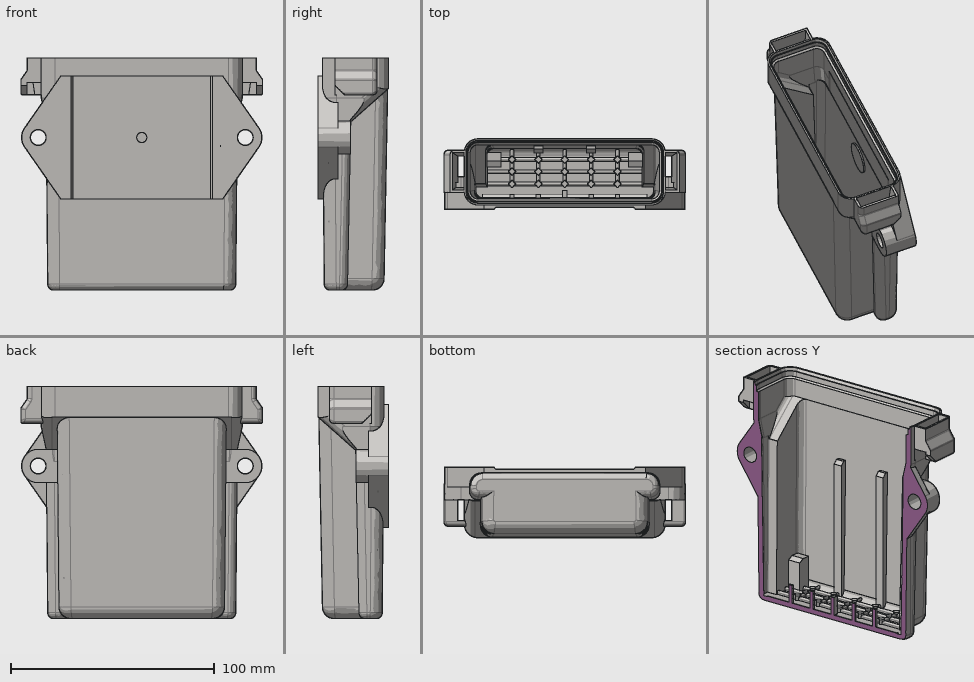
import cadquery as cq
import math

HEIGHT = 114.0
BACK_Y = 34.7
WALL = 2.6
WIDE_BACK_WALL = 3.6

COLLAR_HALF = 49.4
COLLAR_FRONT_Y = 2.1
COLLAR_RADIUS = 6.9
COLLAR_WALL = 3.0
COLLAR_BOTTOM_Z = 94.5
RIM_THICKNESS = 0.8
RIM_STEP_INSET = 1.4
RIM_STEP_DEPTH = 1.5
SEAL_WALL_INSET = 1.9
SEAL_LEDGE_DEPTH = 4.3
SEAL_LEDGE_DROP = 0.7

WIDE_HALF_BASE = 46.2
WIDE_HALF_TOP = 46.9
WIDE_BACK_BASE = 14.5
WIDE_BACK_TOP = 16.2
WIDE_TOP_Z = 83.2
WIDE_BACK_RADIUS = 3.9
CORNER_BREAK = 0.4
NARROW_HALF_BASE = 40.6
NARROW_HALF_TOP = 41.6
NARROW_BACK_BASE = 32.4
NARROW_BACK_TOP = 34.3
NARROW_TOP_Z = 101.0
FRONT_Y_BASE = 3.1
FRONT_Y_TOP = 2.4
BODY_RADIUS = 5.9
WIDE_BASE_FILLET = 3.0
NARROW_BASE_FILLET = 5.8
BACK_COVE_RADIUS = 3.2
FRONT_COVE_RADIUS = 1.5
SHOULDER_FRONT_Z = 82.7
SHOULDER_BACK_Z = 99.1
SHOULDER_FILLET = 5.2

PLATE_CENTER_Z = 75.0
PLATE_HALF_HEIGHT = 30.3
PLATE_HALF_WIDTH = 39.7
PLATE_DEPTH = 9.7
RELIEF_DEPTH = 1.0
RELIEF_HALF_WIDTH = 34.8
LUG_X = 50.8
LUG_RADIUS = 8.2
LUG_DEPTH = 16.0
LUG_HOLE_DIAMETER = 7.6
PILOT_DIAMETER = 5.0
PILOT_DEPTH = 4.0
PILOT_PAD_DIAMETER = 15.2
PILOT_PAD_BACK_Y = 5.8

EAR_X = 59.4
EAR_NECK_X = 56.3
EAR_FRONT_Y = 8.3
EAR_BACK_Y = 29.1
EAR_BOTTOM_Z = 95.9
EAR_RAMP_TOP_Z = 107.9
EAR_RAMP_BOTTOM_Z = 103.4
EAR_EDGE_FILLET = 1.0
EAR_FRONT_CHAMFER = 4.8
EAR_RECESS_TOP_Z = 101.9
EAR_CORNER_RADIUS = 2.4
EAR_WALL = 1.2
EAR_SLOT_HALF_TOP = 55.2
EAR_SLOT_HALF_BOTTOM = 52.5
EAR_SLOT_BOTTOM_FRONT_Y = 11.3
EAR_SLOT_BOTTOM_BACK_Y = 26.1

RIB_SPACING_X = 13.0
RIB_XS = [column * RIB_SPACING_X for column in range(-2, 3)]
CROSS_RIB_YS = (12.5, 18.5, 24.5)
RIB_WIDTH = 1.8
RIB_HEIGHT = 1.8
NODE_DIAGONAL = 3.7
NODE_HEIGHT = 2.4
POST_INNER_X = 31.2
POST_FRONT_Y = 20.8
POST_BACK_Y = 27.9
POST_HEIGHT = 16.6
POST_BEVEL_RUN = 3.0
POST_BEVEL_DROP = 1.4
KEY_WIDTH = 4.4
KEY_FRONT_Y = 27.7
KEY_HEIGHT = 71.3
KEY_BEVEL = 1.9
STUB_WIDTH = 2.1
STUB_BACK_Y = 7.4
MIDDLE_STUB_BACK_Y = 9.1
STUB_HEIGHT = 9.5


def box(x0, x1, y0, y1, z0, z1):
    return cq.Workplane("XY").box(x1 - x0, y1 - y0, z1 - z0, centered=False).translate((x0, y0, z0))


def rounded_outline(half, y0, y1, front_radius, back_radius, z):
    """Wire of a rectangle at height z with separate front and back corner radii."""
    def corner(radius):
        return radius * (1 - math.sqrt(0.5))

    f, b = corner(front_radius), corner(back_radius)
    return (
        cq.Workplane("XY", origin=(0, 0, z))
        .moveTo(front_radius - half, y0)
        .lineTo(half - front_radius, y0)
        .threePointArc((half - f, y0 + f), (half, y0 + front_radius))
        .lineTo(half, y1 - back_radius)
        .threePointArc((half - b, y1 - b), (half - back_radius, y1))
        .lineTo(back_radius - half, y1)
        .threePointArc((b - half, y1 - b), (-half, y1 - back_radius))
        .lineTo(-half, y0 + front_radius)
        .threePointArc((f - half, y0 + f), (front_radius - half, y0))
        .close()
        .val()
    )


def tapered(lower, upper):
    return cq.Workplane(obj=cq.Solid.makeLoft([lower, upper], True))


def wide_half(inset=0.0, back_inset=0.0):
    front_r = BODY_RADIUS - inset
    back_r = max(WIDE_BACK_RADIUS - back_inset, CORNER_BREAK)
    lower = rounded_outline(WIDE_HALF_BASE - inset, FRONT_Y_BASE + inset, WIDE_BACK_BASE - back_inset,
                            front_r, back_r, inset)
    upper = rounded_outline(WIDE_HALF_TOP - inset, FRONT_Y_TOP + inset, WIDE_BACK_TOP - back_inset,
                            front_r, back_r, WIDE_TOP_Z + inset)
    return tapered(lower, upper)


def narrow_half(inset=0.0):
    radius = BODY_RADIUS - inset
    lower = rounded_outline(NARROW_HALF_BASE - inset, FRONT_Y_BASE + inset, NARROW_BACK_BASE - inset,
                            radius, radius, inset)
    upper = rounded_outline(NARROW_HALF_TOP - inset, FRONT_Y_TOP + inset, NARROW_BACK_TOP - inset,
                            radius, radius, NARROW_TOP_Z)
    return tapered(lower, upper)


def shoulder(inset=0.0, slope_inset=0.0):
    """Flare joining the wide half to the collar, bounded at the back by a slope with rounded sides."""
    radius = COLLAR_RADIUS - inset
    front_y, back_y = COLLAR_FRONT_Y + inset, BACK_Y - inset
    lower = rounded_outline(WIDE_HALF_TOP - inset, FRONT_Y_TOP + inset, back_y, radius, radius, WIDE_TOP_Z)
    middle = rounded_outline(COLLAR_HALF - inset, front_y, back_y, radius, radius, COLLAR_BOTTOM_Z)
    upper = rounded_outline(COLLAR_HALF - inset, front_y, back_y, radius, radius, HEIGHT)
    flare = tapered(lower, middle).union(tapered(middle, upper))

    slope = math.degrees(math.atan2(SHOULDER_BACK_Z - SHOULDER_FRONT_Z, BACK_Y - WIDE_BACK_TOP))
    above_slope = (
        cq.Workplane("XY")
        .box(2 * (COLLAR_HALF - inset), 4 * BACK_Y, HEIGHT, centered=(True, True, False))
        .edges("|Y and <Z")
        .fillet(SHOULDER_FILLET - slope_inset)
        .translate((0, 0, slope_inset))
        .rotate((0, 0, 0), (1, 0, 0), slope)
        .translate((0, WIDE_BACK_TOP, SHOULDER_FRONT_Z))
    )
    return flare.intersect(above_slope)


def outer_body():
    wide = wide_half().faces("<Z").edges().fillet(WIDE_BASE_FILLET)
    narrow = narrow_half().faces("<Z").edges().fillet(NARROW_BASE_FILLET)
    return shoulder().union(wide).union(narrow)


def cavity():
    return shoulder(COLLAR_WALL, WALL).union(wide_half(WALL, WIDE_BACK_WALL)).union(narrow_half(WALL))


def mounting_plate():
    side_run = LUG_X - PLATE_HALF_WIDTH
    distance = math.hypot(side_run, PLATE_HALF_HEIGHT)
    tangent_angle = math.atan2(PLATE_HALF_HEIGHT, -side_run) - math.acos(LUG_RADIUS / distance)
    tip_x = LUG_X + LUG_RADIUS * math.cos(tangent_angle)
    tip_z = LUG_RADIUS * math.sin(tangent_angle)
    plate = (
        cq.Workplane("XZ", origin=(0, 0, PLATE_CENTER_Z))
        .moveTo(-PLATE_HALF_WIDTH, PLATE_HALF_HEIGHT)
        .lineTo(PLATE_HALF_WIDTH, PLATE_HALF_HEIGHT)
        .lineTo(tip_x, tip_z)
        .threePointArc((LUG_X + LUG_RADIUS, 0), (tip_x, -tip_z))
        .lineTo(PLATE_HALF_WIDTH, -PLATE_HALF_HEIGHT)
        .lineTo(-PLATE_HALF_WIDTH, -PLATE_HALF_HEIGHT)
        .lineTo(-tip_x, -tip_z)
        .threePointArc((-LUG_X - LUG_RADIUS, 0), (-tip_x, tip_z))
        .close()
        .extrude(-PLATE_DEPTH)
    )
    lugs = (
        cq.Workplane("XZ", origin=(0, 0, PLATE_CENTER_Z))
        .slot2D(2 * (LUG_X + LUG_RADIUS), 2 * LUG_RADIUS)
        .extrude(-LUG_DEPTH)
    )
    relief = (
        cq.Workplane("XY")
        .polyline([
            (-RELIEF_HALF_WIDTH, 0),
            (RELIEF_HALF_WIDTH, 0),
            (RELIEF_HALF_WIDTH - RELIEF_DEPTH, RELIEF_DEPTH),
            (RELIEF_DEPTH - RELIEF_HALF_WIDTH, RELIEF_DEPTH),
        ])
        .close()
        .extrude(HEIGHT)
    )
    return plate.union(lugs).cut(relief)


def ear():
    """Latch ear on the -X side, reaching into the collar wall."""
    root_x = -COLLAR_HALF + WALL / 2
    body = (
        cq.Workplane("XZ", origin=(0, EAR_FRONT_Y, 0))
        .polyline([
            (root_x, HEIGHT),
            (-EAR_NECK_X, HEIGHT),
            (-EAR_NECK_X, EAR_RAMP_TOP_Z),
            (-EAR_X, EAR_RAMP_BOTTOM_Z),
            (-EAR_X, EAR_BOTTOM_Z),
            (root_x, EAR_BOTTOM_Z),
        ])
        .close()
        .extrude(EAR_FRONT_Y - EAR_BACK_Y)
        .edges("|Y and (not >X) and (not >Z)")
        .fillet(EAR_EDGE_FILLET)
        .edges("|Z and >Y and (not >X)")
        .fillet(EAR_CORNER_RADIUS)
    )
    front_cut = (
        cq.Workplane("YZ", origin=(-EAR_NECK_X, 0, 0))
        .polyline([
            (EAR_FRONT_Y, EAR_BOTTOM_Z),
            (EAR_FRONT_Y + EAR_FRONT_CHAMFER, EAR_BOTTOM_Z),
            (EAR_FRONT_Y, EAR_BOTTOM_Z + EAR_FRONT_CHAMFER),
        ])
        .close()
        .extrude(EAR_NECK_X - EAR_X)
    )
    recess = box(-EAR_NECK_X, -COLLAR_HALF, EAR_FRONT_Y, EAR_FRONT_Y + EAR_FRONT_CHAMFER,
                 EAR_BOTTOM_Z, EAR_RECESS_TOP_Z)
    return body.cut(front_cut).cut(recess)


def ear_slot():
    def outline(x, y0, y1, z):
        return cq.Workplane("XY", origin=(0, 0, z)).polyline(
            [(-x, y0), (-COLLAR_HALF, y0), (-COLLAR_HALF, y1), (-x, y1)]).close().val()

    return tapered(
        outline(EAR_SLOT_HALF_BOTTOM, EAR_SLOT_BOTTOM_FRONT_Y, EAR_SLOT_BOTTOM_BACK_Y, EAR_BOTTOM_Z),
        outline(EAR_SLOT_HALF_TOP, EAR_FRONT_Y + EAR_WALL, EAR_BACK_Y - EAR_WALL, HEIGHT),
    )


def collar_ring(inset, z):
    radius = COLLAR_RADIUS - inset
    return rounded_outline(COLLAR_HALF - inset, COLLAR_FRONT_Y + inset, BACK_Y - inset, radius, radius, z)


def seal_recess():
    """Stepped recess inside the rim: a sloped lip, a straight sealing wall and a sloped ledge."""
    lip = tapered(collar_ring(RIM_STEP_INSET, HEIGHT - RIM_STEP_DEPTH), collar_ring(RIM_THICKNESS, HEIGHT))
    ledge_z = HEIGHT - SEAL_LEDGE_DEPTH
    bore = tapered(collar_ring(SEAL_WALL_INSET, ledge_z), collar_ring(SEAL_WALL_INSET, HEIGHT))
    ledge_foot = collar_ring(COLLAR_WALL, ledge_z - SEAL_LEDGE_DROP)
    ledge = tapered(ledge_foot, collar_ring(SEAL_WALL_INSET, ledge_z))
    return lip.union(bore).union(ledge)


def bevelled_block(x0, x1, y0, y1, height, bevel_run, bevel_drop):
    """Block standing on the floor, with its top bevelled along the front edge."""
    return (
        cq.Workplane("YZ", origin=(x0, 0, WALL))
        .polyline([
            (y0, -WALL / 2),
            (y1, -WALL / 2),
            (y1, height),
            (y0 + bevel_run, height),
            (y0, height - bevel_drop),
        ])
        .close()
        .extrude(x1 - x0)
    )


def floor_cove(half, wall_y, radius):
    """Concave strip between the floor and a wall; a negative radius puts it on the +Y side of the wall."""
    foot_y = wall_y - radius
    lift = abs(radius)
    bend = math.sqrt(0.5)
    return (
        cq.Workplane("YZ", origin=(-half, 0, WALL))
        .moveTo(foot_y, 0)
        .threePointArc((foot_y + radius * bend, lift * (1 - bend)), (wall_y, lift))
        .lineTo(wall_y + math.copysign(WALL / 2, radius), lift)
        .lineTo(wall_y + math.copysign(WALL / 2, radius), -WALL / 2)
        .lineTo(foot_y, -WALL / 2)
        .close()
        .extrude(2 * half)
    )


def rib(plane, origin, length):
    """Floor rib with a half-round top, running from origin along the normal of the plane."""
    half = RIB_WIDTH / 2
    shoulder_z = RIB_HEIGHT - half
    return (
        cq.Workplane(plane, origin=origin)
        .moveTo(-half, -WALL / 2)
        .lineTo(half, -WALL / 2)
        .lineTo(half, shoulder_z)
        .threePointArc((0, RIB_HEIGHT), (-half, shoulder_z))
        .close()
        .extrude(length)
    )


def mirrored_pair(solid):
    return solid.union(solid.mirror("YZ"))


def rib_grid():
    """Ribs crossing on the floor of the back half, with a square node turned 45 degrees at each crossing."""
    half = NARROW_HALF_BASE - WALL / 2
    back_y = NARROW_BACK_BASE - WALL / 2
    grid = cq.Workplane("XY")
    for y in CROSS_RIB_YS:
        grid = grid.add(rib("YZ", (-half, y, WALL), 2 * half))
    for x in RIB_XS:
        grid = grid.add(rib("XZ", (x, back_y, WALL), back_y - CROSS_RIB_YS[0]))
    nodes = (
        cq.Workplane("XY", origin=(0, 0, WALL / 2))
        .pushPoints([(x, y) for x in RIB_XS for y in CROSS_RIB_YS])
        .polygon(4, NODE_DIAGONAL)
        .extrude(NODE_HEIGHT + WALL / 2)
    )
    return grid.combine().union(nodes)


def front_stubs():
    stubs = cq.Workplane("XY")
    for x in RIB_XS:
        back_y = STUB_BACK_Y if x else MIDDLE_STUB_BACK_Y
        stubs = stubs.add(box(x - STUB_WIDTH / 2, x + STUB_WIDTH / 2, FRONT_Y_BASE + WALL / 2, back_y,
                              WALL / 2, WALL + STUB_HEIGHT))
    return stubs.combine()


def posts_and_keys():
    half = NARROW_HALF_BASE - WALL / 2
    post = bevelled_block(POST_INNER_X, half, POST_FRONT_Y, POST_BACK_Y, POST_HEIGHT,
                          POST_BEVEL_RUN, POST_BEVEL_DROP)
    key = bevelled_block(RIB_SPACING_X - KEY_WIDTH / 2, RIB_SPACING_X + KEY_WIDTH / 2,
                         KEY_FRONT_Y, NARROW_BACK_BASE, KEY_HEIGHT, KEY_BEVEL, KEY_BEVEL)
    return mirrored_pair(post).union(mirrored_pair(key))


def coves():
    back = floor_cove(NARROW_HALF_BASE - WALL / 2, NARROW_BACK_BASE - WALL, BACK_COVE_RADIUS)
    front = floor_cove(WIDE_HALF_BASE - BODY_RADIUS, FRONT_Y_BASE + WALL, -FRONT_COVE_RADIUS)
    return back.union(front)


def pilot_pad():
    pad = cq.Workplane("XZ", origin=(0, FRONT_Y_BASE, PLATE_CENTER_Z)).circle(PILOT_PAD_DIAMETER / 2)
    return pad.extrude(FRONT_Y_BASE - PILOT_PAD_BACK_Y)


def drill(x, diameter, depth):
    return cq.Workplane("XZ", origin=(x, 0, PLATE_CENTER_Z)).circle(diameter / 2).extrude(-depth)


ears = mirrored_pair(ear())
ear_slots = mirrored_pair(ear_slot())
inside_details = rib_grid().union(front_stubs()).union(posts_and_keys()).union(coves()).union(pilot_pad())
hollow = cavity().cut(inside_details)

result = outer_body().union(mounting_plate()).union(ears)
result = result.cut(ear_slots).cut(hollow).cut(seal_recess())
for lug_x in (-LUG_X, LUG_X):
    result = result.cut(drill(lug_x, LUG_HOLE_DIAMETER, LUG_DEPTH))
result = result.cut(drill(0, PILOT_DIAMETER, PILOT_DEPTH)).solids()